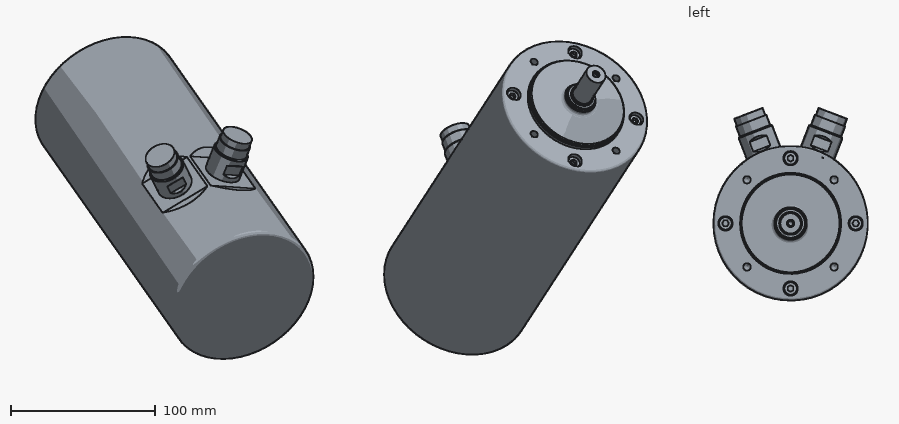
import cadquery as cq
import math


SHAFT_DIA = 14.0
CENTRE_HOLE_DIA = 3.5
CENTRE_HOLE_DEPTH = 8.5
CENTRE_RECESS_DIA = 4.5
CENTRE_RECESS_DEPTH = 2.3
CENTRE_CHAMFER_DIA = 5.1

COLLAR_X = 27.7
LIP_DIA = 16.0
LIP_LENGTH = 1.5
RING_DIA = 21.0
RING_CHAMFER = 0.5
RING_LENGTH = 2.5
HUB_DIA = 22.5
HUB_LENGTH = 1.1
FLARE_DIA = 27.5

CONE_X = 35.2
PILOT_X = 37.2
PILOT_NOSE_DIA = 69.2
PILOT_CHAMFER = 1.0
PILOT_DIA = 70.0
PILOT_STEP_X = 39.8

HOUSING_X = 42.3
HOUSING_DIA = 107.0
FRONT_FILLET = 1.7
REAR_EDGE_X = 285.0
REAR_FILLET = 2.5
TOTAL_LENGTH = 286.0

SCREW_CIRCLE_DIA = 90.0
SCREW_COUNT = 4
COUNTERBORE_DIA = 10.0
COUNTERBORE_DEPTH = 5.5
SCREW_HEAD_DIA = 8.5
SCREW_HEAD_RECESS = 2.5
SOCKET_FLATS = 4.0
SOCKET_DEPTH = 2.5
TAPPED_CIRCLE_DIA = 85.2
TAPPED_COUNT = 4
TAPPED_DIA = 5.1
TAPPED_DEPTH = 7.2
DRILL_TIP_ANGLE = 118.0

CONNECTOR_X = 206.2
CONNECTOR_TILT = 21.0
SEAT_HEIGHT = 50.3
SEAT_LENGTH = 36.0
SEAT_RAMP_ANGLE = 20.0
CONNECTOR_TOP = 81.5
BASE_DIA = 25.0
BASE_TOP = 68.5
BASE_CHAMFER = 1.0
SLEEVE_DIA = 22.5
SLEEVE_TOP = 76.0
CAP_DIA = 21.2
FLAT_SPACING = 21.5
FLAT_BOTTOM = 55.5
FLAT_TOP = 62.5


def turned(points):
    """Solid of revolution about X from (x, radius) points that start and end on the axis."""
    return cq.Workplane("XY").polyline(points).close().revolve(360, (0, 0, 0), (1, 0, 0))


def bar(x, dia, length):
    """Cylinder on the X axis that starts at x."""
    return cq.Workplane("YZ", origin=(x, 0, 0)).circle(dia / 2).extrude(length)


def around_axis(tool, circle_dia, count, first_angle):
    """Copies of a tool on a circle about the X axis."""
    moved = tool.translate((0, circle_dia / 2, 0))
    step = 360 / count
    return [moved.rotate((0, 0, 0), (1, 0, 0), first_angle + i * step) for i in range(count)]


def motor_blank():
    ring_x = COLLAR_X + LIP_LENGTH
    hub_x = ring_x + RING_LENGTH
    flare_x = hub_x + HUB_LENGTH
    flare_run = CONE_X - flare_x
    flare_rise = (FLARE_DIA - HUB_DIA) / 2
    flare_mid = (
        flare_x + flare_run * math.sin(math.pi / 4),
        HUB_DIA / 2 + flare_rise * (1 - math.cos(math.pi / 4)),
    )
    front_fillet_mid = (
        HOUSING_X + FRONT_FILLET * (1 - math.cos(math.pi / 4)),
        HOUSING_DIA / 2 - FRONT_FILLET * (1 - math.sin(math.pi / 4)),
    )
    fillet_x = REAR_EDGE_X - REAR_FILLET
    rear_fillet_mid = (
        fillet_x + REAR_FILLET * math.sin(math.pi / 4),
        HOUSING_DIA / 2 - REAR_FILLET * (1 - math.cos(math.pi / 4)),
    )
    return (
        cq.Workplane("XY")
        .lineTo(0, SHAFT_DIA / 2)
        .lineTo(COLLAR_X, SHAFT_DIA / 2)
        .lineTo(COLLAR_X, LIP_DIA / 2)
        .lineTo(ring_x, LIP_DIA / 2)
        .lineTo(ring_x, RING_DIA / 2 - RING_CHAMFER)
        .lineTo(ring_x + RING_CHAMFER, RING_DIA / 2)
        .lineTo(hub_x, RING_DIA / 2)
        .lineTo(hub_x, HUB_DIA / 2)
        .lineTo(flare_x, HUB_DIA / 2)
        .threePointArc(flare_mid, (CONE_X, FLARE_DIA / 2))
        .lineTo(PILOT_X, PILOT_NOSE_DIA / 2 - PILOT_CHAMFER)
        .lineTo(PILOT_X + PILOT_CHAMFER, PILOT_NOSE_DIA / 2)
        .lineTo(PILOT_STEP_X, PILOT_NOSE_DIA / 2)
        .lineTo(PILOT_STEP_X, PILOT_DIA / 2)
        .lineTo(HOUSING_X, PILOT_DIA / 2)
        .lineTo(HOUSING_X, HOUSING_DIA / 2 - FRONT_FILLET)
        .threePointArc(front_fillet_mid, (HOUSING_X + FRONT_FILLET, HOUSING_DIA / 2))
        .lineTo(fillet_x, HOUSING_DIA / 2)
        .threePointArc(rear_fillet_mid, (REAR_EDGE_X, HOUSING_DIA / 2 - REAR_FILLET))
        .lineTo(TOTAL_LENGTH, 0)
        .close()
        .revolve(360, (0, 0, 0), (1, 0, 0))
    )


def centre_hole():
    chamfer = (CENTRE_CHAMFER_DIA - CENTRE_RECESS_DIA) / 2
    tip = CENTRE_HOLE_DIA / 2 / math.tan(math.radians(DRILL_TIP_ANGLE / 2))
    return turned([
        (0, 0),
        (0, CENTRE_CHAMFER_DIA / 2),
        (chamfer, CENTRE_RECESS_DIA / 2),
        (CENTRE_RECESS_DEPTH, CENTRE_RECESS_DIA / 2),
        (CENTRE_RECESS_DEPTH, CENTRE_HOLE_DIA / 2),
        (CENTRE_HOLE_DEPTH, CENTRE_HOLE_DIA / 2),
        (CENTRE_HOLE_DEPTH + tip, 0),
    ])


def screw_recess():
    """Counterbore around a sunk screw head with a hexagon socket."""
    head_x = HOUSING_X + SCREW_HEAD_RECESS
    head = bar(head_x, SCREW_HEAD_DIA, COUNTERBORE_DEPTH)
    socket_corners = SOCKET_FLATS / math.cos(math.pi / 6)
    socket = (
        cq.Workplane("YZ", origin=(head_x, 0, 0))
        .polygon(6, socket_corners)
        .extrude(SOCKET_DEPTH)
    )
    return bar(HOUSING_X, COUNTERBORE_DIA, COUNTERBORE_DEPTH).cut(head).union(socket)


def tapped_hole():
    tip = TAPPED_DIA / 2 / math.tan(math.radians(DRILL_TIP_ANGLE / 2))
    bottom = HOUSING_X + TAPPED_DEPTH
    return turned([
        (HOUSING_X, 0),
        (HOUSING_X, TAPPED_DIA / 2),
        (bottom, TAPPED_DIA / 2),
        (bottom + tip, 0),
    ])


def tilted(body, side):
    """Moves an upright body to the connector station and leans it toward +Y (1) or -Y (-1)."""
    return body.rotate((0, 0, 0), (1, 0, 0), -side * CONNECTOR_TILT).translate((CONNECTOR_X, 0, 0))


def seat_cut():
    """Flat across the housing with a ramp at each end."""
    rise = HOUSING_DIA / 2 - SEAT_HEIGHT
    half = SEAT_LENGTH / 2
    ramp = rise / math.tan(math.radians(SEAT_RAMP_ANGLE))
    top = SEAT_HEIGHT + rise
    return (
        cq.Workplane("XZ")
        .polyline([(-half, SEAT_HEIGHT), (half, SEAT_HEIGHT), (half + ramp, top), (-half - ramp, top)])
        .close()
        .extrude(HOUSING_DIA / 2, both=True)
    )


def make_motor():
    motor = motor_blank().cut(centre_hole())
    for recess in around_axis(screw_recess(), SCREW_CIRCLE_DIA, SCREW_COUNT, 0):
        motor = motor.cut(recess)
    for hole in around_axis(tapped_hole(), TAPPED_CIRCLE_DIA, TAPPED_COUNT, 180 / TAPPED_COUNT):
        motor = motor.cut(hole)
    for side in (1, -1):
        motor = motor.cut(tilted(seat_cut(), side))
    return motor


def wrench_flat():
    """Cutter for the flat on the +X side, with 45 degree ends."""
    depth = (BASE_DIA - FLAT_SPACING) / 2
    inner = FLAT_SPACING / 2
    outer = BASE_DIA / 2
    return (
        cq.Workplane("XZ")
        .polyline([
            (inner, FLAT_BOTTOM),
            (outer, FLAT_BOTTOM - depth),
            (outer, FLAT_TOP + depth),
            (inner, FLAT_TOP),
        ])
        .close()
        .extrude(BASE_DIA / 2, both=True)
    )


def make_connector(side):
    base = (
        cq.Workplane("XY", origin=(0, 0, SEAT_HEIGHT))
        .circle(BASE_DIA / 2)
        .extrude(BASE_TOP - SEAT_HEIGHT)
        .faces(">Z")
        .chamfer(BASE_CHAMFER)
    )
    base = base.cut(wrench_flat()).cut(wrench_flat().mirror("YZ"))
    sleeve = cq.Workplane("XY", origin=(0, 0, BASE_TOP)).circle(SLEEVE_DIA / 2).extrude(SLEEVE_TOP - BASE_TOP)
    cap = cq.Workplane("XY", origin=(0, 0, SLEEVE_TOP)).circle(CAP_DIA / 2).extrude(CONNECTOR_TOP - SLEEVE_TOP)
    return tilted(base.union(sleeve).union(cap), side)


motor = make_motor()
connectors = [make_connector(side) for side in (1, -1)]

result = cq.Compound.makeCompound([motor.val(), *[connector.val() for connector in connectors]])